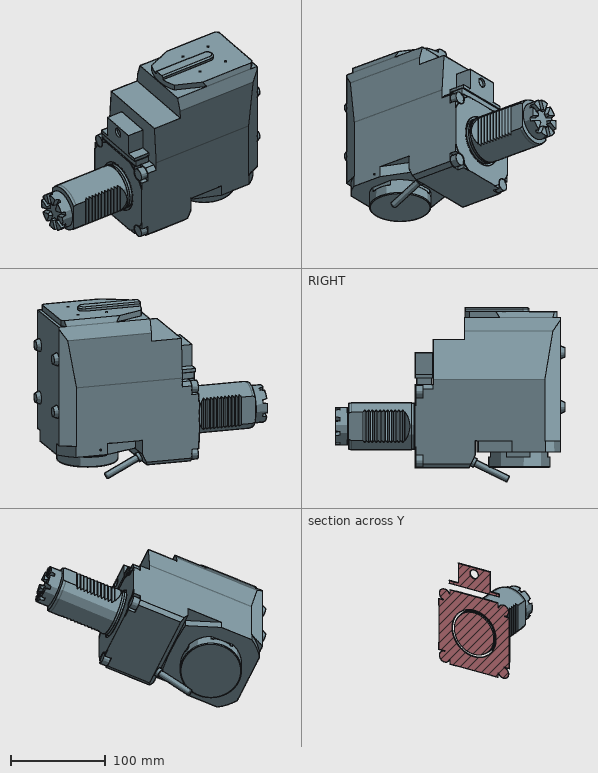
import cadquery as cq
import math


half_width = 44.0
seat_y = 19.0
step_y = 52.0
rear_y = 153.7
step_z = 91.9
top_z = 115.0
side_break_z = 49.2
shoulder_z = 100.5
shoulder_half_width = 40.0
top_half_width = 35.5
edge_chamfer = 4.4
rear_bevel_y = 137.0
rear_bevel_x = 36.0

spindle_y = 110.0
overhang_z = -27.1
recess_z = -15.3
recess_front_y = 63.5
slant_start_z = -30.5
slant_foot_y = 57.0
rear_round_radius = 51.9
taper_start_y = 102.5
taper_end_y = 66.7
taper_end_x = 30.0
nose_front_y = 65.0

plate_top_z = 121.2
plate_rear_y = 150.0
plate_top_half_width = 33.7
plate_bottom_half_width = 35.5
plate_corner = 4.5
plate_taper_y = 89.2
plate_tip_x = 21.3
plate_tip_y = 57.5
plate_front_y = 52.5
plate_hole_diameter = 2.1
plate_hole_pitch = 32.2
shallow_depth = 2.5
key_width = 13.0
key_rear_y = 120.5
key_top_z = 125.5
key_chamfer = 1.7

screw_offset = 36.5
screw_diameter = 13.0
screw_front_y = 0.7
pocket_inner = 30.0
pocket_depth = 8.2
pocket_radius = screw_offset - pocket_inner
face_radius = 49.2
face_step = 0.7
face_groove_radius = 27.1
face_groove_depth = 1.2

clamp_rear_y = 18.5
clamp_half_width = 19.9
clamp_top_z = 77.8
clamp_foot_half_width = 31.0
clamp_foot_top_z = 54.5
clamp_foot_bottom_z = 51.0
clamp_base_half_width = 31.8
clamp_base_front_y = 1.5
clamp_base_rear_y = 17.5
clamp_hole_diameter = 10.0
clamp_hole_z = 69.8

neck_radius = 48.7 / 2
shank_radius = 50.0 / 2
collar_y = -3.9
lip_radius = 24.7
lip_y = -1.5
shank_end_y = -70.3
shank_chamfer_length = 3.0
shank_chamfer_depth = 0.7
nut_neck_radius = 28.0 / 2
nut_radius = 40.0 / 2
nut_rear_y = -71.5
nut_front_y = -84.0
nut_slot_count = 8
nut_slot_floor_width = 3.5
nut_slot_top_width = 5.3
nut_slot_depth = 4.5
nut_bore_radius = 10.0
flat_x = nut_radius
flat_start_y = -5.5
tooth_count = 11
tooth_pitch = 4.0
first_groove_y = -13.0

drum_radius = 65.0 / 2
drum_bottom_z = -43.5
drum_chamfer = 1.0
drum_flat_bottom_z = -32.2
drum_flat_distance = 30.0
drum_flat_turn = 2.3
cable_x = -27.0
cable_diameter = 7.0
cable_length = 42.5
cable_end_fillet = 0.7
gland_diameter = 10.0
gland_length = 3.6
cable_embed = 2.5
button_diameter = 14.0
button_top_diameter = 10.0
button_rear_y = 158.3
button_x = 29.0
button_heights = (20.4, 78.0)
mark_diameter = 1.7
mark_z = -21.5


def box(x0, x1, y0, y1, z0, z1):
    return cq.Workplane("XY").box(x1 - x0, y1 - y0, z1 - z0, centered=False).translate((x0, y0, z0))


def along_y(radius, y0, y1, x=0, z=0):
    """Cylinder parallel to Y from y0 to y1."""
    solid = cq.Solid.makeCylinder(radius, y1 - y0, cq.Vector(x, y0, z), cq.Vector(0, 1, 0))
    return cq.Workplane(obj=solid)


def along_z(radius, z0, z1, x=0, y=0):
    """Cylinder parallel to Z from z0 to z1."""
    solid = cq.Solid.makeCylinder(radius, z1 - z0, cq.Vector(x, y, z0))
    return cq.Workplane(obj=solid)


def mirrored_outline(plane, right_points):
    """Closed outline symmetric about the vertical axis, from its right half, bottom to top."""
    left_points = [(-x, v) for x, v in reversed(right_points)]
    return cq.Workplane(plane).polyline(right_points + left_points).close()


def housing():
    side_profile = [
        (seat_y, -half_width),
        (slant_foot_y, -half_width),
        (recess_front_y, slant_start_z),
        (recess_front_y, recess_z),
        (rear_y, recess_z),
        (rear_y, top_z),
        (step_y, top_z),
        (step_y, step_z),
        (seat_y, step_z),
    ]
    body = cq.Workplane("YZ").polyline(side_profile).close().extrude(half_width, both=True)

    front_half = [
        (half_width - edge_chamfer, -half_width),
        (half_width, -half_width + edge_chamfer),
        (half_width, side_break_z),
        (shoulder_half_width, shoulder_z),
        (top_half_width, top_z),
    ]
    body = body.intersect(mirrored_outline("XZ", front_half).extrude(-rear_y))

    plan_half = [(half_width, 0), (half_width, rear_bevel_y), (rear_bevel_x, rear_y)]
    plan = mirrored_outline("XY", plan_half).extrude(top_z + half_width)
    return body.intersect(plan.translate((0, 0, -half_width)))


def underside():
    """Lower slab of the rear part: tapered nose in front, rounded about the spindle behind."""
    slab = (
        cq.Workplane("XY", origin=(0, 0, overhang_z))
        .moveTo(half_width, rear_y)
        .lineTo(half_width, taper_start_y)
        .lineTo(taper_end_x, taper_end_y)
        .threePointArc((0, nose_front_y), (-taper_end_x, taper_end_y))
        .lineTo(-half_width, taper_start_y)
        .lineTo(-half_width, rear_y)
        .close()
        .extrude(recess_z - overhang_z)
    )
    rear_round = along_z(rear_round_radius, overhang_z, recess_z, y=spindle_y)
    front_half = box(-half_width, half_width, nose_front_y, spindle_y, overhang_z, recess_z)
    return slab.intersect(rear_round.union(front_half))


def top_plate():
    half = plate_bottom_half_width

    def outline(height):
        return (
            cq.Workplane("XY", origin=(0, 0, top_z))
            .moveTo(half, plate_taper_y)
            .lineTo(half, plate_rear_y - plate_corner)
            .lineTo(half - plate_corner, plate_rear_y)
            .lineTo(plate_corner - half, plate_rear_y)
            .lineTo(-half, plate_rear_y - plate_corner)
            .lineTo(-half, plate_taper_y)
            .lineTo(-plate_tip_x, plate_tip_y)
            .threePointArc((0, plate_front_y), (plate_tip_x, plate_tip_y))
            .close()
            .extrude(height)
        )

    side_slope = mirrored_outline("XZ", [(half, top_z), (plate_top_half_width, plate_top_z)])
    hole_floor_z = plate_top_z - shallow_depth
    hole_radius = plate_hole_diameter / 2
    plate = outline(plate_top_z - top_z).intersect(side_slope.extrude(-rear_y))
    for x in (-plate_hole_pitch / 2, plate_hole_pitch / 2):
        for y in (spindle_y - plate_hole_pitch / 2, spindle_y + plate_hole_pitch / 2):
            plate = plate.cut(along_z(hole_radius, hole_floor_z, plate_top_z, x, y))

    key_round_y = key_rear_y - key_width / 2
    key = box(-key_width / 2, key_width / 2, 0, key_round_y, top_z, key_top_z)
    key = key.union(along_z(key_width / 2, top_z, key_top_z, y=key_round_y))
    key = key.faces(">Z").edges("not(<Y)").chamfer(key_chamfer)
    return plate.union(key.intersect(outline(key_top_z - top_z)))


def flange():
    width = 2 * half_width
    body = cq.Workplane("XZ").rect(width, width).extrude(-seat_y).edges("|Y").chamfer(edge_chamfer)
    rim = box(-half_width, half_width, 0, face_step, -half_width, half_width)
    body = body.cut(rim.cut(along_y(face_radius, 0, face_step)))
    groove = along_y(face_groove_radius, 0, face_groove_depth)
    body = body.cut(groove.cut(along_y(neck_radius, 0, face_groove_depth)))

    pocket_side = half_width - pocket_inner
    pocket_centre = (half_width + pocket_inner) / 2
    for sx in (-1, 1):
        for sz in (-1, 1):
            pocket = cq.Workplane("XZ").rect(pocket_side, pocket_side).extrude(-pocket_depth)
            inner_x = "<X" if sx > 0 else ">X"
            inner_z = "<Z" if sz > 0 else ">Z"
            pocket = pocket.edges(f"{inner_x} and {inner_z}").fillet(pocket_radius)
            body = body.cut(pocket.translate((sx * pocket_centre, 0, sz * pocket_centre)))
            x = sx * screw_offset
            z = sz * screw_offset
            body = body.union(along_y(screw_diameter / 2, screw_front_y, seat_y, x, z))
    return body


def clamp_block():
    base = box(-clamp_base_half_width, clamp_base_half_width, clamp_base_front_y, clamp_base_rear_y,
               half_width, clamp_foot_bottom_z)
    foot = box(-clamp_foot_half_width, clamp_foot_half_width, 0, clamp_rear_y,
               clamp_foot_bottom_z, clamp_foot_top_z)
    head = box(-clamp_half_width, clamp_half_width, 0, clamp_rear_y, clamp_foot_top_z, clamp_top_z)
    hole = along_y(clamp_hole_diameter / 2, 0, shallow_depth, z=clamp_hole_z)
    return base.union(foot).union(head).cut(hole)


def shank():
    turned = [
        (0, seat_y),
        (lip_radius, seat_y),
        (lip_radius, lip_y),
        (neck_radius, lip_y),
        (neck_radius, collar_y),
        (shank_radius, collar_y),
        (shank_radius, shank_end_y + shank_chamfer_length),
        (shank_radius - shank_chamfer_depth, shank_end_y),
        (nut_neck_radius, shank_end_y),
        (nut_neck_radius, nut_rear_y),
        (nut_radius, nut_rear_y),
        (nut_radius, nut_front_y),
        (0, nut_front_y),
    ]
    body = cq.Workplane("XY").polyline(turned).close().revolve(360, (0, 0, 0), (0, 1, 0))

    half_pitch = tooth_pitch / 2
    run_out = shank_radius - flat_x
    flat_profile = [(shank_radius, flat_start_y), (flat_x, flat_start_y - run_out)]
    for i in range(tooth_count):
        groove_y = first_groove_y - i * tooth_pitch
        flat_profile.append((flat_x, groove_y + half_pitch))
        flat_profile.append((flat_x - half_pitch, groove_y))
    last_groove_y = first_groove_y - (tooth_count - 1) * tooth_pitch
    flat_profile.append((flat_x, last_groove_y - half_pitch))
    flat_profile.append((flat_x, shank_end_y))
    flat_profile.append((shank_radius, shank_end_y))
    flat = cq.Workplane("XY").polyline(flat_profile).close().extrude(shank_radius, both=True)
    body = body.cut(flat).cut(flat.mirror("YZ"))

    slot_floor_y = nut_front_y + nut_slot_depth
    body = body.cut(along_y(nut_bore_radius, nut_front_y, slot_floor_y))
    slot_step = 360 / nut_slot_count
    slot_half = [(nut_slot_top_width / 2, nut_front_y), (nut_slot_floor_width / 2, slot_floor_y)]
    slot = mirrored_outline("XY", slot_half).extrude(shank_radius)
    for i in range(nut_slot_count):
        body = body.cut(slot.rotate((0, 0, 0), (0, 1, 0), (i + 0.5) * slot_step))
    return body


def spindle_nose():
    drum = along_z(drum_radius, drum_bottom_z, overhang_z).faces("<Z").chamfer(drum_chamfer)
    for i in range(4):
        side = box(drum_flat_distance, drum_radius, -drum_radius, drum_radius, drum_flat_bottom_z, overhang_z)
        drum = drum.cut(side.rotate((0, 0, 0), (0, 0, 1), i * 90 - drum_flat_turn))
    return drum.translate((0, spindle_y, 0))


def cable():
    """Cable and gland, square to the slanted face below the rear part."""
    run = recess_front_y - slant_foot_y
    rise = slant_start_z + half_width
    slant_length = math.hypot(run, rise)
    direction = cq.Vector(0, rise / slant_length, -run / slant_length)
    root = cq.Vector(cable_x, slant_foot_y + run / 2, -half_width + rise / 2)
    start = root - direction * cable_embed
    wire = cq.Solid.makeCylinder(cable_diameter / 2, cable_length + cable_embed, start, direction)
    wire = cq.Workplane(obj=wire).edges("<Z").fillet(cable_end_fillet)
    gland = cq.Solid.makeCylinder(gland_diameter / 2, gland_length + cable_embed, start, direction)
    return wire.union(cq.Workplane(obj=gland))


def rear_screws():
    height = button_rear_y - rear_y
    heads = []
    for x in (-button_x, button_x):
        for z in button_heights:
            cone = cq.Solid.makeCone(button_diameter / 2, button_top_diameter / 2, height,
                                     cq.Vector(x, rear_y, z), cq.Vector(0, 1, 0))
            heads.append(cq.Workplane(obj=cone))
    return heads


features = [underside(), top_plate(), flange(), clamp_block(), shank(), spindle_nose(), cable()]
result = housing()
for feature in features + rear_screws():
    result = result.union(feature)

mark = cq.Solid.makeCylinder(mark_diameter / 2, shallow_depth, cq.Vector(-half_width, spindle_y, mark_z),
                             cq.Vector(1, 0, 0))
result = result.cut(cq.Workplane(obj=mark))